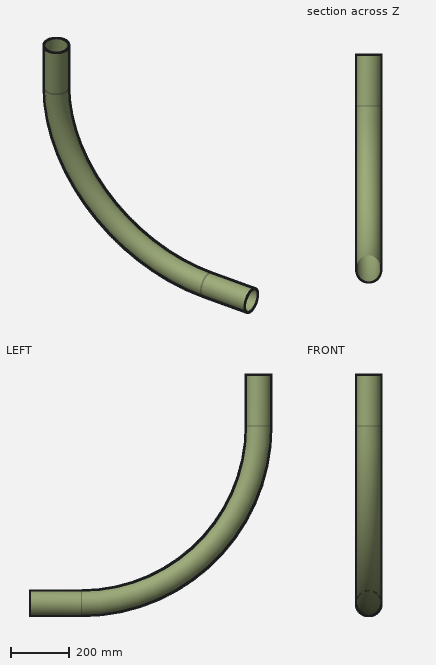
import cadquery as cq

overall_length = 832.0
outer_diameter = 89.0
inner_diameter = 85.0
straight_length = 177.0

bend_radius = overall_length - outer_diameter / 2 - straight_length
bend_angle = 90.0


def pipe_section(plane):
    """Ring-shaped pipe cross-section centred on the given plane."""
    return cq.Workplane(plane).circle(outer_diameter / 2).circle(inner_diameter / 2)


upper_leg = pipe_section(cq.Plane.XY()).extrude(straight_length)

bend = pipe_section(cq.Plane.XY()).revolve(
    bend_angle, (0, bend_radius, 0), (1, bend_radius, 0)
)

bend_end = cq.Plane(
    origin=(0, bend_radius, -bend_radius), xDir=(1, 0, 0), normal=(0, 1, 0)
)
lower_leg = pipe_section(bend_end).extrude(straight_length)

result = upper_leg.union(bend).union(lower_leg)